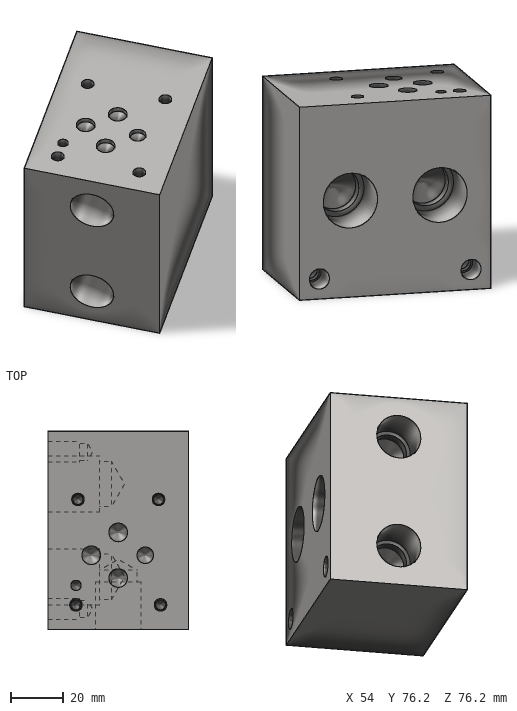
import cadquery as cq
import math

WIDTH = 53.95
SIDE = 76.2
LEFT = -WIDTH / 2
FRONT = -SIDE / 2
TOP = SIDE / 2

POINT_ANGLE = math.radians(120)

FRONT_PORT_DIAMETER = 17.3
FRONT_DRILL_DIAMETER = 14.3
FRONT_PORT_DEPTH = 18.3
FRONT_DRILL_DEPTH = 22.85
FRONT_PORT_OFFSET = 22.25

SIDE_PORT_DIAMETER = 21.6
SIDE_DRILL_DIAMETER = 17.45
SIDE_PORT_DEPTH = 19.8
SIDE_DRILL_DEPTH = 24.4
SIDE_PORT_OFFSET = 17.8

MOUNT_DIAMETER = 7.9
MOUNT_DRILL_DIAMETER = 6.55
MOUNT_DEPTH = 12.2
MOUNT_DRILL_DEPTH = 15.25
MOUNT_INSET = 7.9

VALVE_CENTRE_Y = -9.5
VALVE_PORT_DIAMETER = 7.2
VALVE_SMALL_PORT_DIAMETER = 6.3
VALVE_PORT_DEPTH = 2.0
VALVE_PORT_OFFSET_X = 10.4
VALVE_PORT_OFFSET_Y = 8.8

BOLT_DIAMETER = 4.8
BOLT_DRILL_DIAMETER = 3.8
BOLT_DEPTH = 12.2
BOLT_DRILL_DEPTH = 15.25
BOLT_FRONT_X = 16.2
BOLT_REAR_X = 15.5
BOLT_FRONT_Y = -28.6
BOLT_REAR_Y = 11.9

PIN_DIAMETER = 4.0
PIN_DEPTH = 6.1
PIN_SPACING = 7.5

INTO_TOP = (0, 0, -1)
INTO_FRONT = (0, 1, 0)
INTO_LEFT = (1, 0, 0)


def drilled_hole(entry, direction, diameter, depth):
    """Blind hole with a full-diameter depth and a conical drill point."""
    radius = diameter / 2
    point_depth = radius / math.tan(POINT_ANGLE / 2)
    start = cq.Vector(*entry)
    axis = cq.Vector(*direction)
    bore = cq.Solid.makeCylinder(radius, depth, start, axis)
    point = cq.Solid.makeCone(radius, 0, point_depth, start + axis * depth, axis)
    return cq.Workplane(bore).union(cq.Workplane(point))


def stepped_hole(entry, direction, diameter, depth, drill_diameter, drill_depth):
    """Flat-ended bore with a smaller drilled hole continuing beyond it."""
    bore = cq.Solid.makeCylinder(diameter / 2, depth, cq.Vector(*entry), cq.Vector(*direction))
    return drilled_hole(entry, direction, drill_diameter, drill_depth).union(cq.Workplane(bore))


result = cq.Workplane("XY").box(WIDTH, SIDE, SIDE)

for z in (-FRONT_PORT_OFFSET, FRONT_PORT_OFFSET):
    result = result.cut(
        stepped_hole(
            (0, FRONT, z), INTO_FRONT,
            FRONT_PORT_DIAMETER, FRONT_PORT_DEPTH,
            FRONT_DRILL_DIAMETER, FRONT_DRILL_DEPTH,
        )
    )

for y in (-SIDE_PORT_OFFSET, SIDE_PORT_OFFSET):
    result = result.cut(
        stepped_hole(
            (LEFT, y, 0), INTO_LEFT,
            SIDE_PORT_DIAMETER, SIDE_PORT_DEPTH,
            SIDE_DRILL_DIAMETER, SIDE_DRILL_DEPTH,
        )
    )

mount_offset = SIDE / 2 - MOUNT_INSET
for y in (-mount_offset, mount_offset):
    result = result.cut(
        stepped_hole(
            (LEFT, y, -mount_offset), INTO_LEFT,
            MOUNT_DIAMETER, MOUNT_DEPTH,
            MOUNT_DRILL_DIAMETER, MOUNT_DRILL_DEPTH,
        )
    )

for x, y, diameter in (
    (-VALVE_PORT_OFFSET_X, VALVE_CENTRE_Y, VALVE_PORT_DIAMETER),
    (VALVE_PORT_OFFSET_X, VALVE_CENTRE_Y, VALVE_SMALL_PORT_DIAMETER),
    (0, VALVE_CENTRE_Y - VALVE_PORT_OFFSET_Y, VALVE_PORT_DIAMETER),
    (0, VALVE_CENTRE_Y + VALVE_PORT_OFFSET_Y, VALVE_PORT_DIAMETER),
):
    result = result.cut(drilled_hole((x, y, TOP), INTO_TOP, diameter, VALVE_PORT_DEPTH))

for x, y in (
    (-BOLT_FRONT_X, BOLT_FRONT_Y),
    (BOLT_FRONT_X, BOLT_FRONT_Y),
    (-BOLT_REAR_X, BOLT_REAR_Y),
    (BOLT_REAR_X, BOLT_REAR_Y),
):
    result = result.cut(
        stepped_hole(
            (x, y, TOP), INTO_TOP,
            BOLT_DIAMETER, BOLT_DEPTH,
            BOLT_DRILL_DIAMETER, BOLT_DRILL_DEPTH,
        )
    )

pin_entry = (-BOLT_FRONT_X, BOLT_FRONT_Y + PIN_SPACING, TOP)
result = result.cut(drilled_hole(pin_entry, INTO_TOP, PIN_DIAMETER, PIN_DEPTH))